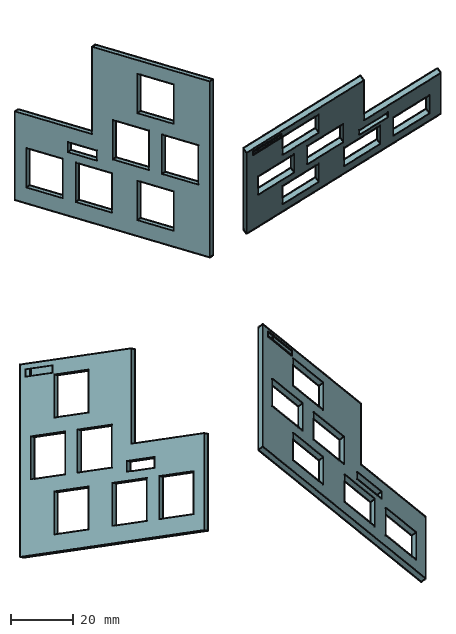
import cadquery as cq

width = 75.3
height = 62.7
thickness = 2.0

step_x = 29.8
step_z = 31.6

key_size = 14.0
key_pitch = 19.05
left_margin = 4.45
bottom_margin = 5.7
upright_column = 2.25
key_column = left_margin + upright_column * key_pitch
stagger = key_pitch / 2

slot_length = 11.2
slot_height = 3.55
slot_x = 20.4
slot_z = 22.7

strip_height = 0.2
strip_z = 58.4
strip_rise = 2.4
strip_spans = [(61.9, 8.8), (71.0, 1.9)]


def block(x, z, x_length, z_length, y_start, y_length):
    """Rectangular block given by its lower-left corner in the XZ plane."""
    return cq.Workplane("XY").box(x_length, y_length, z_length, centered=False).translate((x, y_start, z))


def through_cut(x, z, x_length, z_length):
    """Block that reaches through the full plate thickness."""
    return block(x, z, x_length, z_length, 0, thickness)


result = block(0, 0, width, height, 0, thickness)
result = result.cut(through_cut(0, step_z, step_x, height - step_z))

key_places = [
    (left_margin, 0),
    (left_margin + key_pitch, 0),
    (key_column, 0),
    (key_column - stagger, 1),
    (key_column + stagger, 1),
    (key_column, 2),
]
for key_x, row in key_places:
    key_z = bottom_margin + row * key_pitch
    result = result.cut(through_cut(key_x, key_z, key_size, key_size))

result = result.cut(through_cut(slot_x, slot_z, slot_length, slot_height))

for strip_x, strip_length in strip_spans:
    result = result.union(block(strip_x, strip_z, strip_length, strip_rise, thickness, strip_height))